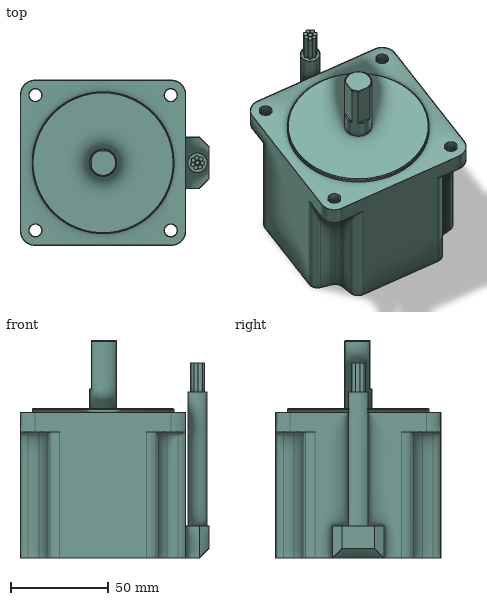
import cadquery as cq
import math

frame_side = 85.0
half_side = frame_side / 2
body_height = 65.0
flange_thickness = 10.0
flange_top = body_height + flange_thickness
flange_corner_radius = 7.5
mount_hole_spacing = 69.6
mount_hole_diameter = 6.5
pilot_diameter = 73.0
pilot_height = 2.0
pilot_chamfer = 0.5
pilot_top = flange_top + pilot_height

relief_mouth = 16.1
relief_wall_angle = 12.0
relief_inner_radius = 5.9
relief_outer_radius = 5.0

shaft_diameter = 14.0
shaft_length = 35.0
shaft_top = pilot_top + shaft_length
shaft_chamfer = 0.5
flat_length = 25.0
flat_distance = 6.0

outlet_depth = 12.0
outlet_width = 26.5
outlet_height = 16.5
outlet_chamfer = 5.0
cable_x = half_side + 6.05
cable_diameter = 10.0
cable_top = 85.5

wire_top = 100.5
wire_diameter = 2.2
ring_wire_count = 7
wire_ring_radius = 2.55
ring_start_angle = -5.0


def cylinder(x, y, diameter, bottom, top):
    """Upright cylinder between two heights."""
    return cq.Workplane("XY", origin=(x, y, bottom)).circle(diameter / 2).extrude(top - bottom)


def make_corner_relief():
    """Kite-shaped notch at the (-X, -Y) corner, with its innermost edge rounded."""
    depth = relief_mouth / (1 + math.tan(math.radians(relief_wall_angle)))
    corner = -half_side
    notch = (
        cq.Workplane("XY")
        .polyline([
            (corner, corner),
            (corner + relief_mouth, corner),
            (corner + depth, corner + depth),
            (corner, corner + relief_mouth),
        ])
        .close()
        .extrude(body_height)
    )
    innermost = cq.selectors.NearestToPointSelector((corner + depth, corner + depth, body_height / 2))
    return notch.edges("|Z").edges(innermost).fillet(relief_inner_radius)


def make_body():
    """Square body with a relief at each corner and rounded relief mouths."""
    body = cq.Workplane("XY").rect(frame_side, frame_side).extrude(body_height)
    relief = make_corner_relief()
    for quarter_turn in range(4):
        body = body.cut(relief.rotate((0, 0, 0), (0, 0, 1), 90 * quarter_turn))
    mouth = half_side - relief_mouth
    for side in (-1, 1):
        for end in (-1, 1):
            for x, y in ((side * half_side, end * mouth), (end * mouth, side * half_side)):
                mouth_edge = cq.selectors.NearestToPointSelector((x, y, body_height / 2))
                body = body.edges("|Z").edges(mouth_edge).fillet(relief_outer_radius)
    return body


def make_flange():
    """Mounting flange with rounded corners and four through holes."""
    return (
        cq.Workplane("XY", origin=(0, 0, body_height))
        .rect(frame_side, frame_side)
        .extrude(flange_thickness)
        .edges("|Z")
        .fillet(flange_corner_radius)
        .faces(">Z")
        .workplane()
        .rect(mount_hole_spacing, mount_hole_spacing, forConstruction=True)
        .vertices()
        .hole(mount_hole_diameter)
    )


def make_pilot():
    """Centring disc with a chamfered rim."""
    return cylinder(0, 0, pilot_diameter, flange_top, pilot_top).faces(">Z").chamfer(pilot_chamfer)


def make_shaft():
    """Shaft with a chamfered tip and flats facing -X and +Y."""
    shaft = cylinder(0, 0, shaft_diameter, pilot_top, shaft_top).faces(">Z").chamfer(shaft_chamfer)
    cutter_depth = shaft_diameter / 2
    cutter = cq.Workplane("XY", origin=(-flat_distance - cutter_depth, 0, shaft_top - flat_length)).box(
        cutter_depth, shaft_diameter, flat_length, centered=(False, True, False)
    )
    for angle in (0, -90):
        shaft = shaft.cut(cutter.rotate((0, 0, 0), (0, 0, 1), angle))
    return shaft


def make_outlet():
    """Block on the +X wall, chamfered at its outer upright edges and outer bottom edge."""
    block = cq.Workplane("XY", origin=(half_side, 0, 0)).box(
        outlet_depth, outlet_width, outlet_height, centered=(False, True, False)
    )
    return block.faces(">X").edges("|Z or <Z").chamfer(outlet_chamfer)


def make_cable():
    """Cable jacket standing on the outlet, with the wires protruding from its end."""
    cable = cylinder(cable_x, 0, cable_diameter, outlet_height, cable_top)
    cable = cable.union(cylinder(cable_x, 0, wire_diameter, cable_top, wire_top))
    for index in range(ring_wire_count):
        angle = math.radians(ring_start_angle + 360 * index / ring_wire_count)
        x = cable_x + wire_ring_radius * math.cos(angle)
        y = wire_ring_radius * math.sin(angle)
        cable = cable.union(cylinder(x, y, wire_diameter, cable_top, wire_top))
    return cable


result = (
    make_body()
    .union(make_flange())
    .union(make_pilot())
    .union(make_shaft())
    .union(make_outlet())
    .union(make_cable())
)